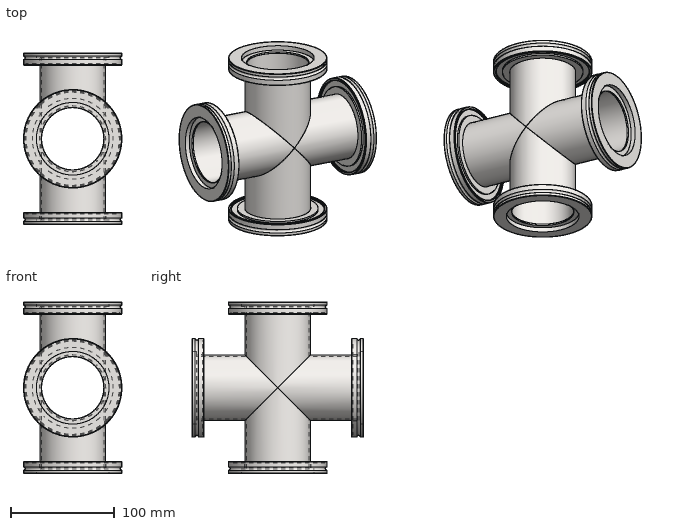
import cadquery as cq

span = 165.6
half_span = span / 2

flange_diameter = 95.0
flange_thickness = 12.0
flange_chamfer = 0.5
bore_diameter = 60.0
seat_diameter = 70.0
seat_depth = 4.5
lip_thickness = 1.5
socket_diameter = 63.8

groove_offset = 4.8
groove_width = 3.3
groove_depth = 1.5

relief_inner_diameter = 78.0
relief_outer_diameter = 90.0
relief_depth = 1.7

tube_outer_diameter = 63.5
tube_inner_diameter = 60.3
tube_end = half_span - seat_depth - lip_thickness

arm_angles = [0, 90, 180, 270]


def ring(outer_diameter, inner_diameter, bottom, height):
    """Ring around Z, starting at the height `bottom`."""
    return (
        cq.Workplane("XY")
        .workplane(offset=bottom)
        .circle(outer_diameter / 2)
        .circle(inner_diameter / 2)
        .extrude(height)
    )


def disc(diameter, bottom, height):
    """Solid cylinder around Z, starting at the height `bottom`."""
    return cq.Workplane("XY").workplane(offset=bottom).circle(diameter / 2).extrude(height)


def make_relief_chamfer(back):
    """Cone that breaks the outer edge of the relief at the back of the flange."""
    relief_radius = relief_outer_diameter / 2
    profile = [
        (relief_radius, back),
        (relief_radius + flange_chamfer, back),
        (relief_radius, back + flange_chamfer),
    ]
    return cq.Workplane("XZ").polyline(profile).close().revolve(360, (0, 0), (0, 1))


def make_rim_groove():
    """Ring with an arc section, cut from the rim of the flange."""
    rim = flange_diameter / 2
    centre = half_span - groove_offset
    return (
        cq.Workplane("XZ")
        .moveTo(rim, centre - groove_width / 2)
        .threePointArc((rim - groove_depth, centre), (rim, centre + groove_width / 2))
        .close()
        .revolve(360, (0, 0), (0, 1))
    )


def make_flange():
    """Flange of the +Z arm, with its sealing face at the end of the arm."""
    back = half_span - flange_thickness
    flange = disc(flange_diameter, back, flange_thickness).edges().chamfer(flange_chamfer)

    flange = flange.cut(disc(bore_diameter, back, flange_thickness))
    flange = flange.cut(disc(socket_diameter, back, tube_end - back))
    flange = flange.cut(disc(seat_diameter, half_span - seat_depth, seat_depth))

    relief = ring(relief_outer_diameter, relief_inner_diameter, back, relief_depth)
    flange = flange.cut(relief).cut(make_relief_chamfer(back))

    return flange.cut(make_rim_groove())


def make_tube():
    """Tube of the +Z arm, mitred at 45 degrees on both sides where the arms meet."""
    tube = ring(tube_outer_diameter, tube_inner_diameter, 0, tube_end)
    mitre_wedge = (
        cq.Workplane("YZ")
        .polyline([(0, 0), (half_span, half_span), (-half_span, half_span)])
        .close()
        .extrude(tube_outer_diameter, both=True)
    )
    return tube.intersect(mitre_wedge)


def place_on_arms(body):
    """One separate copy of a +Z arm body on each of the four arms."""
    return [body.rotate((0, 0, 0), (1, 0, 0), angle).val() for angle in arm_angles]


flanges = place_on_arms(make_flange())
tubes = place_on_arms(make_tube())

result = cq.Compound.makeCompound([*flanges, *tubes])